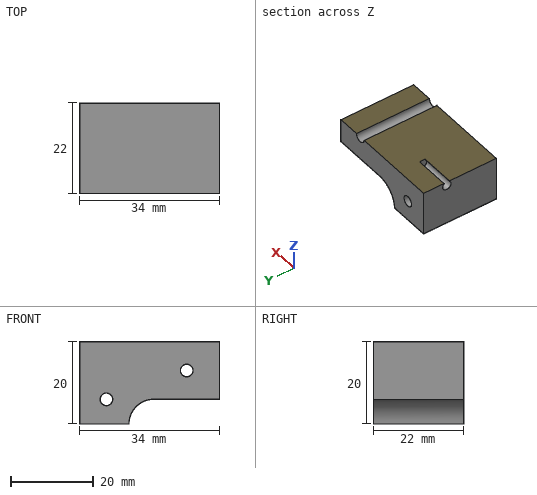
import cadquery as cq

length = 34.0
width = 22.0
height = 20.0

foot_length = 12.0
relief_height = 6.0
corner_radius = relief_height

cross_hole_diameter = 3.0
cross_hole_centres = [(6.5, 6.0), (26.0, 13.0)]

end_hole_diameter = 2.5
end_hole_y = 15.0
end_hole_z = 12.0
end_hole_depth = 10.0


def make_body():
    """Stepped profile in the XZ plane, extruded along +Y."""
    return (
        cq.Workplane("XZ")
        .moveTo(0, 0)
        .lineTo(foot_length, 0)
        .radiusArc((foot_length + corner_radius, relief_height), corner_radius)
        .lineTo(length, relief_height)
        .lineTo(length, height)
        .lineTo(0, height)
        .close()
        .extrude(-width)
    )


def make_cross_holes():
    """Cylinders running the full width of the block along Y."""
    return (
        cq.Workplane("XZ")
        .pushPoints(cross_hole_centres)
        .circle(cross_hole_diameter / 2)
        .extrude(-width)
    )


def make_end_hole():
    """Flat-bottomed cylinder entering the -X end."""
    return (
        cq.Workplane("YZ")
        .center(end_hole_y, end_hole_z)
        .circle(end_hole_diameter / 2)
        .extrude(end_hole_depth)
    )


result = make_body().cut(make_cross_holes()).cut(make_end_hole())